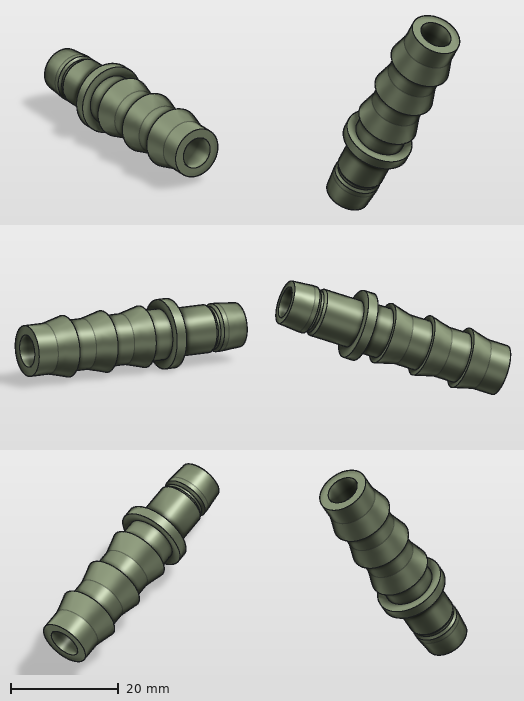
import cadquery as cq

length = 44.0
bore_radius = 3.0

stem_radius = 4.5
nose_tip_radius = 4.15
nose_length = 4.0
groove_start = 4.95
groove_floor_width = 0.55
groove_flank_width = 0.55
groove_depth = 0.45

flange_diameter = 13.0
flange_radius = flange_diameter / 2
flange_start = 14.0
flange_thickness = 2.0

tail_radius = 4.75
barb_radius = 5.75
barb_start = 19.98
barb_length = 4.0
barb_pitch = 8.0
barb_count = 3


def stem_points():
    """Outer outline (X, radius) of the plug: tapered nose, groove with sloping flanks, stem."""
    floor_radius = stem_radius - groove_depth
    floor_start = groove_start + groove_flank_width
    floor_end = floor_start + groove_floor_width
    return [
        (0, nose_tip_radius),
        (nose_length, stem_radius),
        (groove_start, stem_radius),
        (floor_start, floor_radius),
        (floor_end, floor_radius),
        (floor_end + groove_flank_width, stem_radius),
        (flange_start, stem_radius),
    ]


def flange_points():
    """Outer outline of the flange, ending on the hose tail."""
    flange_end = flange_start + flange_thickness
    return [
        (flange_start, flange_radius),
        (flange_end, flange_radius),
        (flange_end, tail_radius),
    ]


def barb_points(start):
    """Outer outline of one barb: sharp shoulder facing the flange, then a cone back to the tail."""
    return [
        (start, tail_radius),
        (start, barb_radius),
        (start + barb_length, tail_radius),
    ]


outline = [(0, bore_radius)]
outline += stem_points()
outline += flange_points()
for index in range(barb_count):
    outline += barb_points(barb_start + index * barb_pitch)
outline += [(length, tail_radius), (length, bore_radius)]

result = cq.Workplane("XZ").polyline(outline).close().revolve(360, (0, 0, 0), (1, 0, 0))